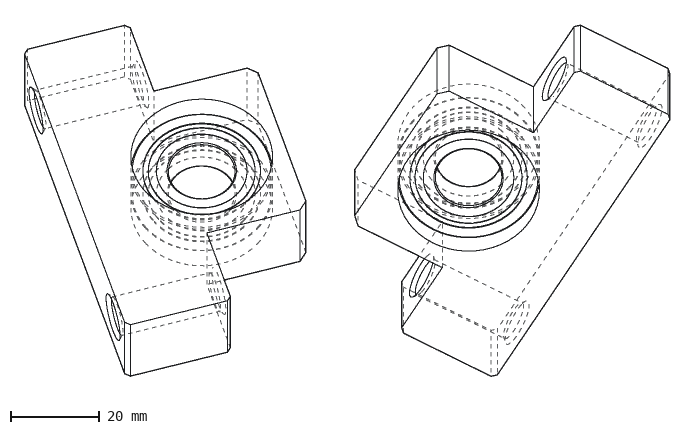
import cadquery as cq

base_length = 80.0
base_depth = 25.0
height = 20.0
total_depth = 49.0
head_width = 41.2
base_chamfer = 1.0
head_chamfer = 2.0

mount_pitch = 60.0
mount_diameter = 9.0
mount_chamfer = 1.0

bearing_y = 30.0
bearing_outer_diameter = 32.0
bearing_bore_diameter = 15.0
bearing_width = 9.0
bearing_edge_chamfer = 0.3
bearing_bottom = (height - bearing_width) / 2

outer_ring_inner_diameter = 26.6
shield_diameter = 24.2
inner_ring_outer_diameter = 20.5
groove_depth = 0.3
shield_depth = 0.1


def make_block():
    """T-shaped block with chamfered outer vertical edges."""
    base = (
        cq.Workplane("XY")
        .box(base_length, base_depth, height, centered=(True, False, False))
        .edges("|Z")
        .chamfer(base_chamfer)
    )
    head = (
        cq.Workplane("XY")
        .box(head_width, total_depth, height, centered=(True, False, False))
        .edges("|Z and >Y")
        .chamfer(head_chamfer)
    )
    return base.union(head)


def make_mount_hole(x):
    """Cutter for a through hole along Y, chamfered at both ends of the base."""
    radius = mount_diameter / 2
    mouth_radius = radius + mount_chamfer
    profile = [
        (0, 0),
        (mouth_radius, 0),
        (radius, mount_chamfer),
        (radius, base_depth - mount_chamfer),
        (mouth_radius, base_depth),
        (0, base_depth),
    ]
    cutter = cq.Workplane("XY").polyline(profile).close().revolve(360, (0, 0, 0), (0, 1, 0))
    return cutter.translate((x, 0, height / 2))


def make_housing():
    seat = cq.Workplane("XY").center(0, bearing_y).circle(bearing_outer_diameter / 2).extrude(height)
    housing = make_block().cut(seat)
    for x in (-mount_pitch / 2, mount_pitch / 2):
        housing = housing.cut(make_mount_hole(x))
    return housing


def make_face_recess(outer_diameter, inner_diameter, depth):
    """Cutter for matching ring recesses in both end faces of the bearing."""
    ring = cq.Workplane("XY").circle(outer_diameter / 2).circle(inner_diameter / 2).extrude(depth)
    return ring.union(ring.translate((0, 0, bearing_width - depth)))


def make_bearing():
    bearing = (
        cq.Workplane("XY")
        .circle(bearing_outer_diameter / 2)
        .circle(bearing_bore_diameter / 2)
        .extrude(bearing_width)
        .edges("%CIRCLE")
        .chamfer(bearing_edge_chamfer)
    )
    groove = make_face_recess(outer_ring_inner_diameter, shield_diameter, groove_depth)
    shield = make_face_recess(shield_diameter, inner_ring_outer_diameter, shield_depth)
    return bearing.cut(groove).cut(shield).translate((0, bearing_y, bearing_bottom))


housing = make_housing()
bearing = make_bearing()
result = cq.Compound.makeCompound([housing.val(), bearing.val()])